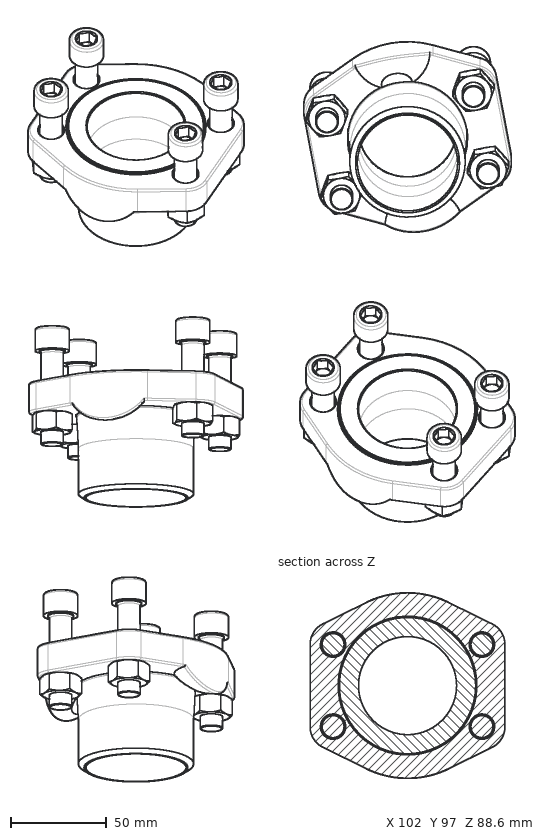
import cadquery as cq
import math

FLANGE_BOTTOM = 43.4
FLANGE_THICKNESS = 16.0
FLANGE_TOP = FLANGE_BOTTOM + FLANGE_THICKNESS

BOLT_X = 38.9
BOLT_Y = 21.4
BOLT_CENTRES = [(sx * BOLT_X, sy * BOLT_Y) for sx in (-1, 1) for sy in (-1, 1)]

FLANGE_LENGTH = 102.0
FLANGE_WIDTH = 97.0
EDGE_RADIUS = 1.0
CORNER_RADIUS = FLANGE_LENGTH / 2 - BOLT_X
BOLT_HOLE_DIAMETER = 13.0
NECK_HOLE_DIAMETER = 62.7
COLLAR_RECESS_DIAMETER = 72.2
HOLE_CHAMFER = 0.5
LOBE_RADIUS = 26.0
LOBE_DROP = 9.9
LOBE_BOTTOM = FLANGE_BOTTOM - LOBE_DROP
LOBE_ROOT = 5.1
LOBE_RELIEF = 9.2

NECK_TOP = 60.0
COLLAR_DIAMETER = 71.4
COLLAR_THICKNESS = 9.2
COLLAR_BOTTOM = NECK_TOP - COLLAR_THICKNESS
COLLAR_CHAMFER = 0.5
NECK_DIAMETER = 62.0
NECK_BORE = 51.0
TUBE_DIAMETER = 60.3
TUBE_BORE = 52.3
TUBE_TOP = 26.1
TAPER_TOP = 42.6
BORE_CHAMFER = 0.6
BEVEL_DIAMETER = 54.4
BEVEL_HEIGHT = 2.0

SCREW_TOP = 88.6
SCREW_BOTTOM = 26.9
SHANK_DIAMETER = 11.7
SHANK_TIP_CHAMFER = 0.4
HEAD_DIAMETER = 18.0
HEAD_HEIGHT = 12.0
HEAD_RADIUS = 1.2
UNDERHEAD_RADIUS = 0.9
SHOULDER_HEIGHT = 0.4
SOCKET_FLATS = 9.5
SOCKET_DEPTH = 7.1
SOCKET_RIM_DIAMETER = 11.5
SOCKET_RIM_ANGLE = 120
SOCKET_ROTATION = 39
DRILL_POINT_ANGLE = 120

NUT_FLATS = 19.0
NUT_HEIGHT = 9.9
NUT_CHAMFER_ANGLE = 30


def corner_diameter(flats):
    """Diameter across the corners of a hexagon with the given width across flats."""
    return flats / math.cos(math.radians(30))


def disc(diameter, bottom, top):
    """Upright cylinder between two heights."""
    return cq.Workplane("XY", origin=(0, 0, bottom)).circle(diameter / 2).extrude(top - bottom)


def cone(bottom_diameter, top_diameter, bottom, top):
    """Upright cone or frustum between two heights."""
    return cq.Workplane(
        cq.Solid.makeCone(bottom_diameter / 2, top_diameter / 2, top - bottom, cq.Vector(0, 0, bottom))
    )


def hexagon(flats, bottom, top):
    """Hexagonal prism with corners on the X axis."""
    base = cq.Workplane("XY", origin=(0, 0, bottom))
    return base.polygon(6, corner_diameter(flats)).extrude(top - bottom)


def flange_plate():
    """Plate outlined by a central circle joined tangentially to a circle round each bolt."""
    main_radius = FLANGE_WIDTH / 2
    bolt_distance = math.hypot(BOLT_X, BOLT_Y)
    tangent = math.atan2(BOLT_Y, BOLT_X) + math.acos((main_radius - CORNER_RADIUS) / bolt_distance)

    arc_middle = (tangent + math.pi / 2) / 2

    def main_point(angle):
        return main_radius * math.cos(angle), main_radius * math.sin(angle)

    def corner_point(angle, side):
        x = BOLT_X + CORNER_RADIUS * math.cos(angle)
        y = BOLT_Y + CORNER_RADIUS * math.sin(angle)
        return x, side * y

    right_half = (
        cq.Workplane("XY", origin=(0, 0, FLANGE_BOTTOM))
        .moveTo(0, -main_radius)
        .threePointArc(main_point(-arc_middle), main_point(-tangent))
        .lineTo(*corner_point(tangent, -1))
        .threePointArc(corner_point(tangent / 2, -1), corner_point(0, -1))
        .lineTo(*corner_point(0, 1))
        .threePointArc(corner_point(tangent / 2, 1), corner_point(tangent, 1))
        .lineTo(*main_point(tangent))
        .threePointArc(main_point(arc_middle), (0, main_radius))
    )
    plate = right_half.mirrorY().extrude(FLANGE_THICKNESS).clean()
    return plate.faces("<Z or >Z").edges().fillet(EDGE_RADIUS)


def flange_lobe():
    """Part of a sphere hanging below the +Y end of the plate, flush with its rounded end."""
    ball = cq.Workplane("XY").sphere(LOBE_RADIUS)
    ball = ball.translate((0, FLANGE_WIDTH / 2, LOBE_BOTTOM + LOBE_RADIUS))
    lobe = ball.intersect(disc(FLANGE_WIDTH, LOBE_BOTTOM, FLANGE_BOTTOM + LOBE_ROOT))
    lowest_point = (0, FLANGE_WIDTH / 2, LOBE_BOTTOM)
    return lobe.edges(cq.selectors.NearestToPointSelector(lowest_point)).fillet(EDGE_RADIUS)


def chamfered_hole(diameter, bottom):
    """Cutter for a hole down from the flange top, with a 45 degree chamfer at its mouth."""
    mouth = cone(diameter, diameter + 2 * HOLE_CHAMFER, FLANGE_TOP - HOLE_CHAMFER, FLANGE_TOP)
    return disc(diameter, bottom, FLANGE_TOP).union(mouth)


def make_flange():
    """Clamping flange with a stepped bore for the neck and four bolt holes."""
    lobe = flange_lobe()
    flange = flange_plate().union(lobe).union(lobe.mirror("XZ"))
    flange = flange.cut(disc(NECK_HOLE_DIAMETER, LOBE_BOTTOM, FLANGE_TOP))
    flange = flange.cut(chamfered_hole(COLLAR_RECESS_DIAMETER, COLLAR_BOTTOM))
    relief_diameter = NECK_HOLE_DIAMETER + 2 * LOBE_RELIEF
    flange = flange.cut(cone(relief_diameter, NECK_HOLE_DIAMETER, LOBE_BOTTOM, LOBE_BOTTOM + LOBE_RELIEF))
    bolt_hole = chamfered_hole(BOLT_HOLE_DIAMETER, FLANGE_BOTTOM)
    for x, y in BOLT_CENTRES:
        flange = flange.cut(bolt_hole.translate((x, y, 0)))
    return flange


def make_weld_neck():
    """Turned neck: collar at the top, tapering to the tube with its weld bevel at the bottom."""
    profile = [
        (TUBE_BORE / 2, 0),
        (BEVEL_DIAMETER / 2, 0),
        (TUBE_DIAMETER / 2, BEVEL_HEIGHT),
        (TUBE_DIAMETER / 2, TUBE_TOP),
        (NECK_DIAMETER / 2, TAPER_TOP),
        (NECK_DIAMETER / 2, COLLAR_BOTTOM),
        (COLLAR_DIAMETER / 2, COLLAR_BOTTOM),
        (COLLAR_DIAMETER / 2, NECK_TOP - COLLAR_CHAMFER),
        (COLLAR_DIAMETER / 2 - COLLAR_CHAMFER, NECK_TOP),
        (NECK_BORE / 2 + BORE_CHAMFER, NECK_TOP),
        (NECK_BORE / 2, NECK_TOP - BORE_CHAMFER),
        (NECK_BORE / 2, TAPER_TOP),
        (TUBE_BORE / 2, TUBE_TOP),
    ]
    return cq.Workplane("XZ").polyline(profile).close().revolve(360, (0, 0), (0, 1))


def screw_socket():
    """Hexagonal socket with a countersunk rim and a drill point at its bottom."""
    socket_bottom = SCREW_TOP - SOCKET_DEPTH
    socket = hexagon(SOCKET_FLATS, socket_bottom, SCREW_TOP).rotate((0, 0, 0), (0, 0, 1), SOCKET_ROTATION)
    rim_depth = SOCKET_RIM_DIAMETER / 2 / math.tan(math.radians(SOCKET_RIM_ANGLE / 2))
    point_depth = SOCKET_FLATS / 2 / math.tan(math.radians(DRILL_POINT_ANGLE / 2))
    rim = cone(0, SOCKET_RIM_DIAMETER, SCREW_TOP - rim_depth, SCREW_TOP)
    drill_point = cone(0, SOCKET_FLATS, socket_bottom - point_depth, socket_bottom)
    return socket.union(rim).union(drill_point)


def make_screw():
    """Socket head cap screw on the Z axis."""
    head_bottom = SCREW_TOP - HEAD_HEIGHT
    shank_radius = SHANK_DIAMETER / 2
    head = disc(HEAD_DIAMETER, head_bottom, SCREW_TOP).faces(">Z").edges().fillet(HEAD_RADIUS)
    shank = disc(SHANK_DIAMETER, SCREW_BOTTOM, head_bottom).faces("<Z").edges().chamfer(SHANK_TIP_CHAMFER)
    shoulder_radius = shank_radius + UNDERHEAD_RADIUS
    shoulder_bottom = head_bottom - SHOULDER_HEIGHT
    fillet_bottom = shoulder_bottom - UNDERHEAD_RADIUS
    shoulder = (
        cq.Workplane("XZ")
        .moveTo(0, head_bottom)
        .lineTo(shoulder_radius, head_bottom)
        .lineTo(shoulder_radius, shoulder_bottom)
        .radiusArc((shank_radius, fillet_bottom), -UNDERHEAD_RADIUS)
        .lineTo(0, fillet_bottom)
        .close()
        .revolve(360, (0, 0), (0, 1))
    )
    return head.union(shank).union(shoulder).cut(screw_socket())


def make_nut():
    """Hexagonal nut on the Z axis, chamfered at both ends and bored to fit the screw shank."""
    nut_bottom = FLANGE_BOTTOM - NUT_HEIGHT
    corner_radius = corner_diameter(NUT_FLATS) / 2
    flat_radius = NUT_FLATS / 2
    chamfer_height = (corner_radius - flat_radius) * math.tan(math.radians(NUT_CHAMFER_ANGLE))
    profile = [
        (0, nut_bottom),
        (flat_radius, nut_bottom),
        (corner_radius, nut_bottom + chamfer_height),
        (corner_radius, FLANGE_BOTTOM - chamfer_height),
        (flat_radius, FLANGE_BOTTOM),
        (0, FLANGE_BOTTOM),
    ]
    envelope = cq.Workplane("XZ").polyline(profile).close().revolve(360, (0, 0), (0, 1))
    nut = hexagon(NUT_FLATS, nut_bottom, FLANGE_BOTTOM).intersect(envelope)
    return nut.cut(disc(SHANK_DIAMETER, nut_bottom, FLANGE_BOTTOM))


flange = make_flange()
weld_neck = make_weld_neck()

screw = make_screw()
nut = make_nut()
screws = []
nuts = []
for x, y in BOLT_CENTRES:
    screws.append(screw.translate((x, y, 0)).val())
    nuts.append(nut.translate((x, y, 0)).val())

result = cq.Compound.makeCompound([flange.val(), weld_neck.val(), *screws, *nuts])